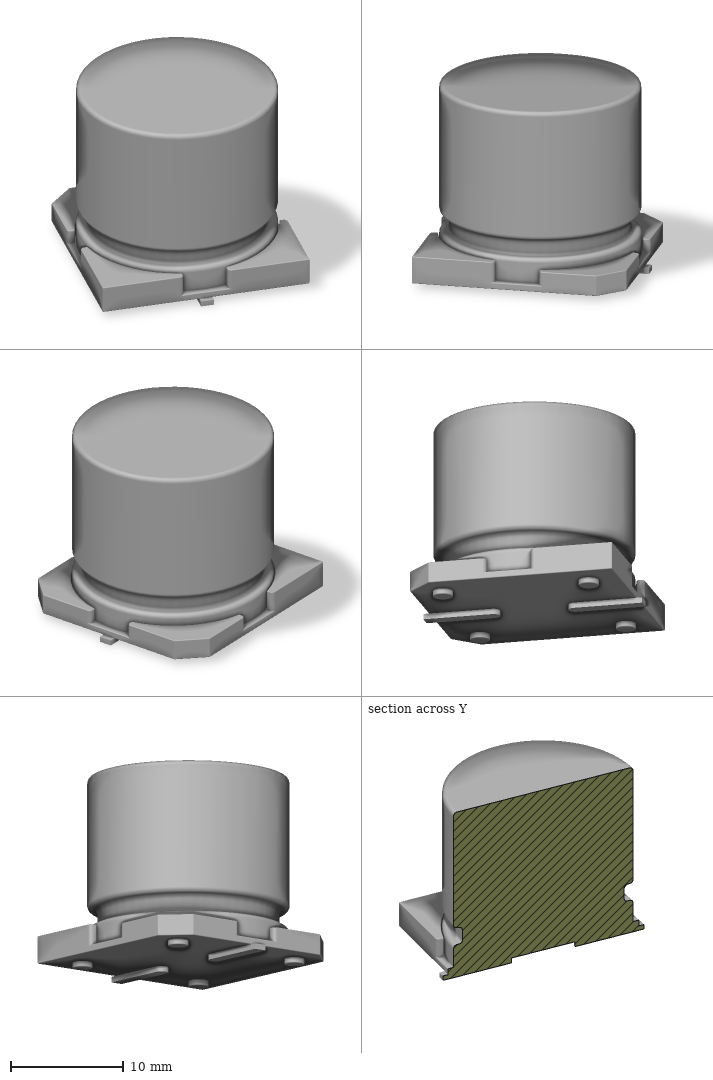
import cadquery as cq
import math

total_height = 17.0
can_radius = 9.0
neck_radius = 8.1
neck_groove_bottom = 3.37
neck_groove_top = 5.05
can_round = 0.4
lower_neck_round = 0.3
upper_neck_round = 0.4

base_size = 19.1
base_half = base_size / 2
base_bottom = 0.5
slot_floor = 1.1
low_corner_top = 2.4
high_corner_top = 3.0
corner_chamfer = 2.25
slot_half_width = 2.05
can_clearance = 0.1
bore_radius = can_radius + can_clearance
outer_tip_round = 0.35
inner_tip_round = 0.15
edge_round = 0.08

terminal_span = 20.1
terminal_width = 1.2
terminal_inner_x = 3.15
foot_diameter = 1.8
foot_offset = 6.7
foot_edge_round = 0.08


def make_can():
    """Turned can standing on the slot floor, with rounded rims and a rolled neck."""
    profile = (
        cq.Workplane("XZ")
        .moveTo(0, slot_floor)
        .lineTo(can_radius, slot_floor)
        .lineTo(can_radius, neck_groove_bottom - can_round)
        .radiusArc((can_radius - can_round, neck_groove_bottom), -can_round)
        .lineTo(neck_radius + lower_neck_round, neck_groove_bottom)
        .radiusArc((neck_radius, neck_groove_bottom + lower_neck_round), lower_neck_round)
        .lineTo(neck_radius, neck_groove_top - upper_neck_round)
        .radiusArc((neck_radius + upper_neck_round, neck_groove_top), upper_neck_round)
        .lineTo(can_radius - can_round, neck_groove_top)
        .radiusArc((can_radius, neck_groove_top + can_round), -can_round)
        .lineTo(can_radius, total_height - can_round)
        .radiusArc((can_radius - can_round, total_height), -can_round)
        .lineTo(0, total_height)
        .close()
    )
    return profile.revolve(360, (0, 0, 0), (0, 1, 0))


def base_outline(bottom, top):
    """Square block between two heights, with its two -X corners chamfered."""
    block = cq.Workplane("XY", origin=(0, 0, bottom)).box(
        base_size, base_size, top - bottom, centered=(True, True, False)
    )
    block = block.edges("|Z and <X").chamfer(corner_chamfer)
    return block.edges("|Z").fillet(edge_round)


def make_corner(x_side, y_side):
    """Corner block between two side slots, hollowed to clear the can."""
    top = high_corner_top if x_side > 0 else low_corner_top
    height = top - slot_floor
    centre = slot_half_width + base_half / 2
    quadrant = cq.Workplane("XY", origin=(x_side * centre, y_side * centre, slot_floor)).box(
        base_half, base_half, height, centered=(True, True, False)
    )
    clearance = cq.Workplane("XY").circle(bore_radius).extrude(total_height)
    block = base_outline(slot_floor, top).intersect(quadrant).cut(clearance)

    inner_reach = math.sqrt(bore_radius**2 - slot_half_width**2)
    middle = (slot_floor + top) / 2
    for reach, radius in ((base_half, outer_tip_round), (inner_reach, inner_tip_round)):
        for x, y in ((reach, slot_half_width), (slot_half_width, reach)):
            tip = cq.selectors.NearestToPointSelector((x_side * x, y_side * y, middle))
            block = block.edges("|Z").edges(tip).fillet(radius)
    return block.faces(">Z").edges().fillet(edge_round)


def make_base():
    """Square base with a slot in the middle of each side and rounded outer edges."""
    base = base_outline(base_bottom, slot_floor)
    for x_side in (-1, 1):
        for y_side in (-1, 1):
            base = base.union(make_corner(x_side, y_side))
    base = base.faces("<Z").edges().fillet(edge_round)
    for outer_side in (">X", "<X", ">Y", "<Y"):
        slot_edge = base.faces(outer_side).edges(cq.selectors.NearestToPointSelector((0, 0, slot_floor)))
        base = slot_edge.fillet(edge_round)
    return base


def make_terminal(side):
    """Flat lead reaching out past the base, with a full round inner end."""
    round_centre = terminal_inner_x + terminal_width / 2
    outer_x = terminal_span / 2
    length = outer_x - round_centre
    strip = cq.Workplane("XY").center(side * (round_centre + length / 2), 0)
    strip = strip.rect(length, terminal_width).extrude(base_bottom)
    inner_end = cq.Workplane("XY").center(side * round_centre, 0)
    inner_end = inner_end.circle(terminal_width / 2).extrude(base_bottom)
    return strip.union(inner_end)


def make_feet():
    """Four round standoff feet under the base corners."""
    spacing = 2 * foot_offset
    feet = cq.Workplane("XY").rect(spacing, spacing, forConstruction=True).vertices()
    feet = feet.circle(foot_diameter / 2).extrude(base_bottom)
    return feet.faces("<Z").edges().fillet(foot_edge_round)


result = make_base().union(make_can()).union(make_feet())
for terminal_side in (-1, 1):
    result = result.union(make_terminal(terminal_side))